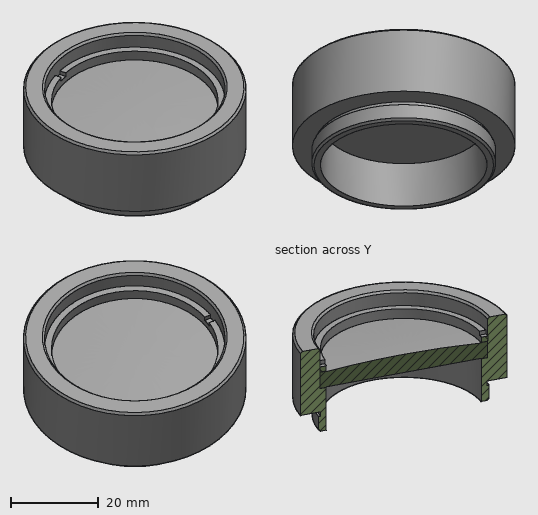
import cadquery as cq

body_radius = 25.4
body_height = 16.5
spigot_radius = 21.0
spigot_height = 3.95
neck_radius = 20.45
neck_height = 1.0
edge_chamfer = 0.5
bore_radius = 20.55
shoulder_z = neck_height + spigot_height
total_height = shoulder_z + body_height

ring_inner_radius = 19.0
ring_depth = 3.8
ring_height = 2.5
slot_width = 2.05
slot_depth = 1.0
ring_top_z = total_height - ring_depth
ring_bottom_z = ring_top_z - ring_height

lens_radius = bore_radius
lens_dome_rise = 0.75
lens_edge_thickness = 4.05
lens_bottom_z = ring_bottom_z - lens_edge_thickness

opening_radius = ring_inner_radius


def make_housing():
    """Stepped outer body with a necked spigot, a chamfered bore and a lens seat."""
    outline = [
        (opening_radius, 0),
        (spigot_radius - edge_chamfer, 0),
        (spigot_radius, edge_chamfer),
        (spigot_radius, spigot_height),
        (neck_radius, spigot_height),
        (neck_radius, shoulder_z),
        (body_radius, shoulder_z),
        (body_radius, total_height - edge_chamfer),
        (body_radius - edge_chamfer, total_height),
        (bore_radius + edge_chamfer, total_height),
        (bore_radius, total_height - edge_chamfer),
        (bore_radius, lens_bottom_z),
        (opening_radius, lens_bottom_z),
    ]
    return cq.Workplane("XZ").polyline(outline).close().revolve(360, (0, 0), (0, 1))


def make_ring():
    """Retaining ring with a spanner slot cut straight across its top face."""
    ring = (
        cq.Workplane("XY", origin=(0, 0, ring_bottom_z))
        .circle(bore_radius)
        .circle(ring_inner_radius)
        .extrude(ring_height)
    )
    slot = (
        cq.Workplane("XY", origin=(0, 0, ring_top_z - slot_depth))
        .rect(2 * bore_radius, slot_width)
        .extrude(slot_depth)
    )
    return ring.cut(slot)


def make_lens():
    """Lens whose spherical top meets the flat underside of the ring at the rim."""
    dome_radius = (ring_inner_radius**2 + lens_dome_rise**2) / (2 * lens_dome_rise)
    crown_z = ring_bottom_z + lens_dome_rise
    dome_mid_radius = ring_inner_radius / 2
    dome_mid_z = crown_z - dome_radius + (dome_radius**2 - dome_mid_radius**2) ** 0.5
    return (
        cq.Workplane("XZ")
        .moveTo(0, lens_bottom_z)
        .lineTo(lens_radius, lens_bottom_z)
        .lineTo(lens_radius, ring_bottom_z)
        .lineTo(ring_inner_radius, ring_bottom_z)
        .threePointArc((dome_mid_radius, dome_mid_z), (0, crown_z))
        .close()
        .revolve(360, (0, 0), (0, 1))
    )


housing = make_housing()
ring = make_ring()
lens = make_lens()

result = cq.Compound.makeCompound([housing.val(), ring.val(), lens.val()])